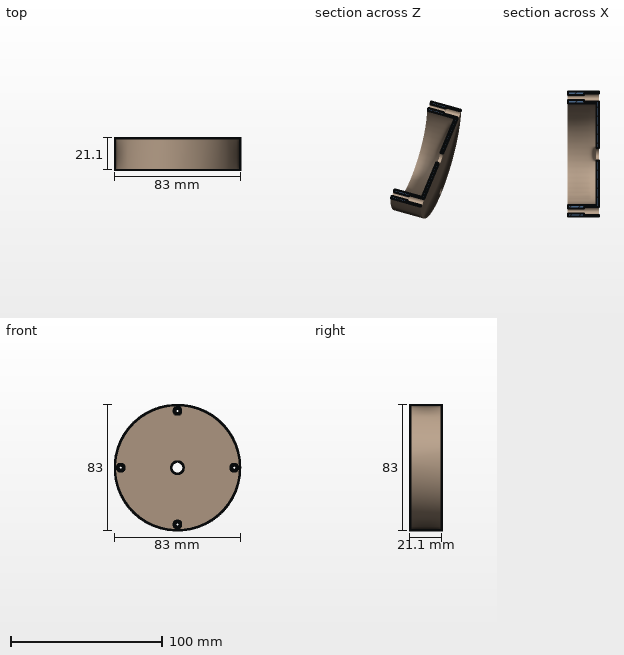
import cadquery as cq

outer_diameter = 83.0
depth = 21.1
face_thickness = 2.0
rim_thickness = 8.0
cavity_diameter = outer_diameter - 2 * rim_thickness

center_hole_diameter = 8.0

screw_count = 4
screw_circle_diameter = outer_diameter - rim_thickness
screw_hole_diameter = 3.0
head_recess_diameter = 5.0
head_recess_depth = 10.0


def cylinder_along_y(diameter, start_y, length):
    """Cylinder on the Y axis, running from start_y towards +Y."""
    front_plane = cq.Workplane("XZ", origin=(0, start_y, 0))
    return front_plane.circle(diameter / 2).extrude(-length)


def make_cover():
    """Hollow cup with its front face centred on the origin."""
    body = cylinder_along_y(outer_diameter, 0, depth)
    cavity = cylinder_along_y(cavity_diameter, face_thickness, depth - face_thickness)
    center_hole = cylinder_along_y(center_hole_diameter, 0, face_thickness)
    return body.cut(cavity).cut(center_hole)


def add_screw_holes(cover):
    """Counterbored through holes, evenly spaced around the rim."""
    return (
        cover.faces("<Y")
        .workplane(origin=(0, 0, 0))
        .polarArray(screw_circle_diameter / 2, 0, 360, screw_count)
        .cboreHole(screw_hole_diameter, head_recess_diameter, head_recess_depth)
    )


result = add_screw_holes(make_cover())